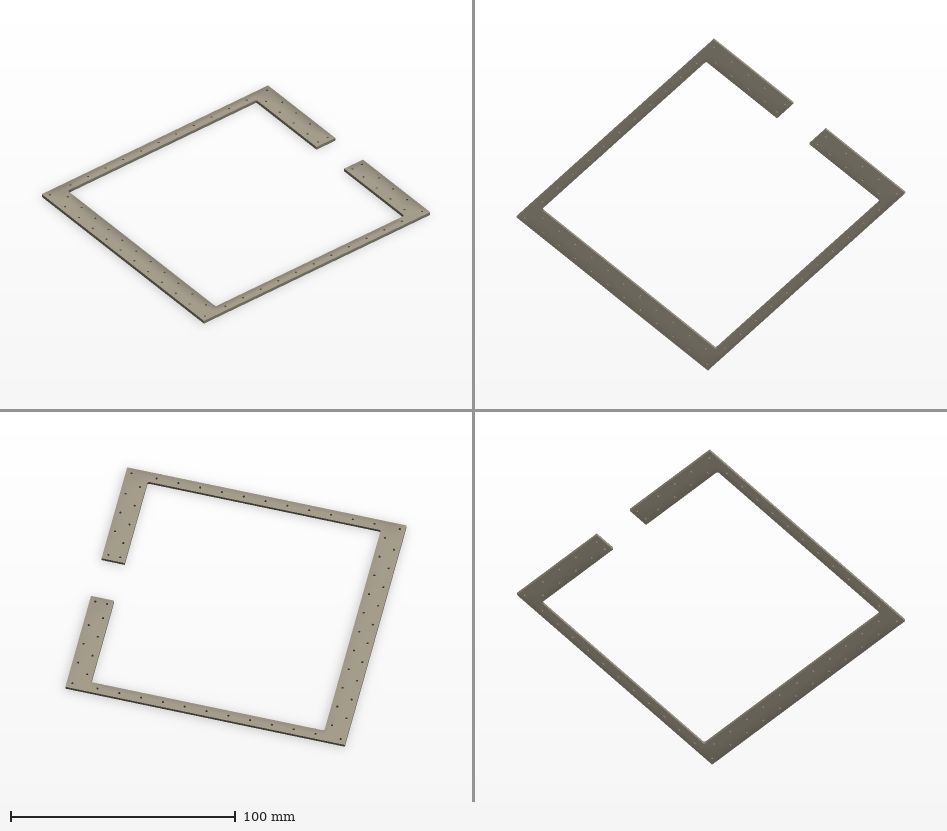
import cadquery as cq

width = 117.0
length = 128.0
thickness = 1.5
opening = 106.8
corner_radius = 0.8
gap = 20.0

hole_diameter = 1.0
pitch = 10.0
half_steps = 5
edge_inset = 2.5
inner_inset = 2.7
gap_inset = 2.4
row_offset = 0.4

column_x = width / 2 - edge_inset
outer_row_y = length / 2 - edge_inset
inner_row_y = opening / 2 + inner_inset
gap_hole_x = gap / 2 + gap_inset


def make_frame():
    """Flat frame with a square window and a break in the +Y rail."""
    plate = cq.Workplane("XY").box(width, length, thickness)
    window = cq.Workplane("XY").box(opening, opening, thickness).edges("|Z").fillet(corner_radius)
    rail_width = (length - opening) / 2
    rail_middle_y = (length + opening) / 4
    gap_cut = cq.Workplane("XY").box(gap, rail_width, thickness).translate((0, rail_middle_y, 0))
    return plate.cut(window).cut(gap_cut)


def side_columns():
    """One column of holes along each side rail."""
    steps = range(-half_steps, half_steps + 1)
    return [(side * column_x, step * pitch) for side in (-1, 1) for step in steps]


def bottom_rail():
    """Outer and inner rows of the -Y rail, staggered by half a pitch."""
    points = [(-column_x, -outer_row_y), (column_x, -outer_row_y)]
    for step in range(-half_steps, half_steps):
        points.append(((step + 0.5) * pitch, -outer_row_y))
    for step in range(-half_steps, half_steps + 1):
        out_of_line = step in (-2, -1, 0)
        y = -inner_row_y - (row_offset if out_of_line else 0)
        points.append((step * pitch, y))
    return points


def top_rail():
    """Outer and inner rows on both halves of the broken +Y rail."""
    points = []
    for side in (-1, 1):
        for x in (gap_hole_x, column_x):
            points.append((side * x, outer_row_y))
        for step in range(2, half_steps):
            points.append((side * (step + 0.5) * pitch, outer_row_y))
        for step in range(2, half_steps + 1):
            out_of_line = side * step == 2
            y = inner_row_y + (row_offset if out_of_line else 0)
            points.append((side * step * pitch, y))
        points.append((side * gap_hole_x, inner_row_y))
    return points


hole_points = side_columns() + bottom_rail() + top_rail()
result = make_frame().faces(">Z").workplane(origin=(0, 0, 0)).pushPoints(hole_points).hole(hole_diameter)